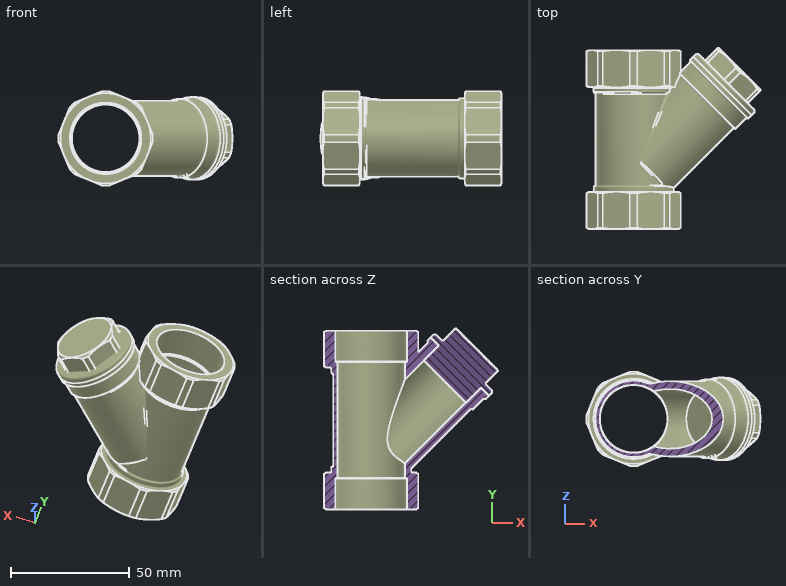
import cadquery as cq
import math

BODY_LENGTH = 75.6
PIPE_RADIUS = 32.5 / 2
BORE_RADIUS = 28.5 / 2
COLLAR_RADIUS = 34.0 / 2
COLLAR_LENGTH = 2.4
COLLAR_FILLET = 0.5

NUT_SIDES = 8
NUT_ACROSS_FLATS = 38.04
NUT_CORNER_RADIUS = 40.0 / 2
NUT_FACE_RADIUS = 38.2 / 2
NUT_LENGTH = 15.65
SOCKET_RADIUS = 30.29 / 2
SOCKET_DEPTH = 13.0
SOCKET_LIP_RADIUS = 29.0 / 2
DRILL_POINT_ANGLE = 120.0

BRANCH_ANGLE = 45.0
BRANCH_CROSSING_FROM_END = 22.97
BRANCH_CROSSING_Y = BRANCH_CROSSING_FROM_END - BODY_LENGTH / 2
BRANCH_RADIUS = 32.0 / 2
BRANCH_START = 6.1
BRANCH_BORE_RADIUS = 25.0 / 2
CREASE_FILLET = 1.0
HEEL_FILLET = 0.6
BAND_RADIUS = 33.5 / 2
BAND_START = 44.03
FLANGE_RADIUS = 35.0 / 2
FLANGE_START = 51.0
BRANCH_STEP_FILLET = 1.0
BRANCH_END = 53.1

CAP_FLANGE_TOP = 55.5
CAP_FLANGE_FILLET = 1.0
CAP_HEX_TOP = 63.33
CAP_HEX_SIDES = 6
CAP_HEX_ACROSS_FLATS = 25.5
CAP_HEX_CORNER_RADIUS = 28.0 / 2
CAP_HEX_FACE_RADIUS = 25.0 / 2
CAP_HEX_ROOT_FILLET = 0.5

CORNER_CHAMFER_ANGLE = 30.0


def along_y(shape):
    """Turn a shape built along Z so that it lies along Y."""
    return shape.rotate((0, 0, 0), (1, 0, 0), -90)


def along_branch(shape):
    """Move a shape built along Z onto the branch axis."""
    leaning = along_y(shape).rotate((0, 0, 0), (0, 0, 1), -BRANCH_ANGLE)
    return leaning.translate((0, BRANCH_CROSSING_Y, 0))


def cylinder(radius, start, end):
    return cq.Workplane("XY").workplane(offset=start).circle(radius).extrude(end - start)


def revolve_profile(profile):
    """Revolve a closed (radius, station) outline about Z."""
    return profile.close().revolve(360, (0, 0, 0), (0, 1, 0)).rotate((0, 0, 0), (1, 0, 0), 90)


def collar_step(profile, first_radius, last_radius, station):
    """Add the step between pipe and collar, made of two tangent arcs that meet at the station."""
    rise = last_radius - first_radius
    sweep = math.acos(1 - abs(rise) / (2 * COLLAR_FILLET))
    half_length = COLLAR_FILLET * math.sin(sweep)
    middle_length = half_length - COLLAR_FILLET * math.sin(sweep / 2)
    middle_rise = math.copysign(COLLAR_FILLET * (1 - math.cos(sweep / 2)), rise)
    return (
        profile.lineTo(first_radius, station - half_length)
        .threePointArc((first_radius + middle_rise, station - middle_length),
                       (first_radius + rise / 2, station))
        .threePointArc((last_radius - middle_rise, station + middle_length),
                       (last_radius, station + half_length))
    )


def chamfered_prism(sides, across_flats, corner_radius, face_radius, start, end, chamfer_start):
    """Polygon along Z with turned corners; one corner of the polygon lies on X."""
    drop = (corner_radius - face_radius) * math.tan(math.radians(CORNER_CHAMFER_ANGLE))
    corner_to_corner = across_flats / math.cos(math.pi / sides)
    prism = cq.Workplane("XY").workplane(offset=start).polygon(sides, corner_to_corner).extrude(end - start)
    envelope = cq.Workplane("XY").moveTo(0, start)
    if chamfer_start:
        envelope = envelope.lineTo(face_radius, start).lineTo(corner_radius, start + drop)
    else:
        envelope = envelope.lineTo(corner_radius, start)
    envelope = envelope.lineTo(corner_radius, end - drop).lineTo(face_radius, end).lineTo(0, end)
    return prism.intersect(revolve_profile(envelope))


def pipe_outside():
    """Round middle of the pipe with a collar against each octagon."""
    nut_face = BODY_LENGTH / 2 - NUT_LENGTH
    collar_edge = nut_face - COLLAR_LENGTH
    root_radius = COLLAR_RADIUS + COLLAR_FILLET
    arc_offset = COLLAR_FILLET * (1 - math.sqrt(0.5))
    profile = (
        cq.Workplane("XY").moveTo(0, -nut_face).lineTo(root_radius, -nut_face)
        .threePointArc((COLLAR_RADIUS + arc_offset, -nut_face + arc_offset),
                       (COLLAR_RADIUS, -nut_face + COLLAR_FILLET))
    )
    profile = collar_step(profile, COLLAR_RADIUS, PIPE_RADIUS, -collar_edge)
    profile = collar_step(profile, PIPE_RADIUS, COLLAR_RADIUS, collar_edge)
    profile = (
        profile.lineTo(COLLAR_RADIUS, nut_face - COLLAR_FILLET)
        .threePointArc((COLLAR_RADIUS + arc_offset, nut_face - arc_offset),
                       (root_radius, nut_face))
        .lineTo(0, nut_face)
    )
    return along_y(revolve_profile(profile))


def octagon_end(side):
    """Octagon at one end of the pipe; side is +1 or -1 along Y."""
    octagon = along_y(chamfered_prism(NUT_SIDES, NUT_ACROSS_FLATS, NUT_CORNER_RADIUS, NUT_FACE_RADIUS,
                                      0, NUT_LENGTH, True))
    middle = side * (BODY_LENGTH - NUT_LENGTH) / 2
    return octagon.translate((0, middle - NUT_LENGTH / 2, 0))


def pipe_bore():
    """Through bore with a drilled socket at each end."""
    half = BODY_LENGTH / 2
    socket_end = half - SOCKET_DEPTH
    cone_slope = math.tan(math.radians(DRILL_POINT_ANGLE / 2))
    lip = socket_end - (SOCKET_RADIUS - SOCKET_LIP_RADIUS) / cone_slope
    profile = (
        cq.Workplane("XY").moveTo(0, -half).lineTo(SOCKET_RADIUS, -half)
        .lineTo(SOCKET_RADIUS, -socket_end).lineTo(SOCKET_LIP_RADIUS, -lip)
        .lineTo(BORE_RADIUS, -lip).lineTo(BORE_RADIUS, lip)
        .lineTo(SOCKET_LIP_RADIUS, lip).lineTo(SOCKET_RADIUS, socket_end)
        .lineTo(SOCKET_RADIUS, half).lineTo(0, half)
    )
    return along_y(revolve_profile(profile))


def filleted_shoulder(profile, small_radius, large_radius, station):
    """Add a concave arc that leaves the small cylinder and meets the large one at a sharp edge."""
    sweep = math.acos(1 - (large_radius - small_radius) / BRANCH_STEP_FILLET)
    start = station - BRANCH_STEP_FILLET * math.sin(sweep)
    middle_radius = small_radius + BRANCH_STEP_FILLET * (1 - math.cos(sweep / 2))
    middle_station = start + BRANCH_STEP_FILLET * math.sin(sweep / 2)
    return profile.lineTo(small_radius, start).threePointArc((middle_radius, middle_station),
                                                             (large_radius, station))


def branch_outside():
    """Branch with its band and the lower half of the flange."""
    profile = cq.Workplane("XY").moveTo(0, BRANCH_START).lineTo(BRANCH_RADIUS, BRANCH_START)
    profile = filleted_shoulder(profile, BRANCH_RADIUS, BAND_RADIUS, BAND_START)
    profile = filleted_shoulder(profile, BAND_RADIUS, FLANGE_RADIUS, FLANGE_START)
    profile = profile.lineTo(FLANGE_RADIUS, BRANCH_END).lineTo(0, BRANCH_END)
    return along_branch(revolve_profile(profile))


def plain_pipe():
    """Bare pipe cylinder that ends inside the octagons."""
    half = (BODY_LENGTH - NUT_LENGTH) / 2
    return along_y(cylinder(PIPE_RADIUS, -half, half))


def plain_branch(start):
    return along_branch(cylinder(BRANCH_RADIUS, start, BAND_START - BRANCH_STEP_FILLET))


def heel_joint():
    """Pipe and branch joined with a fillet along the foot of the branch's start face."""
    joint = plain_pipe().union(plain_branch(BRANCH_START))
    return joint.edges("%ELLIPSE").fillet(HEEL_FILLET)


def crease_joint(side):
    """One quarter of the pipe and branch joint with its crease filleted; side is +1 or -1 along Z."""
    joint = plain_pipe().union(plain_branch(0)).edges("%BSPLINE").fillet(CREASE_FILLET)
    size = 2 * BODY_LENGTH
    quarter = cq.Workplane("XY").box(size, size, size, centered=(True, False, False))
    quarter = along_branch(quarter.translate((0, 0, BRANCH_START)))
    lower_half = cq.Workplane("XY").box(size, size, size).translate((0, 0, -size / 2))
    piece = joint.intersect(quarter.intersect(lower_half))
    return piece if side < 0 else piece.mirror("XY")


def make_body():
    body = heel_joint()
    for side in (-1, 1):
        body = body.union(crease_joint(side))
    body = body.union(pipe_outside()).union(branch_outside())
    for side in (-1, 1):
        body = body.union(octagon_end(side))
    body = body.cut(pipe_bore())
    return body.cut(along_branch(cylinder(BRANCH_BORE_RADIUS, 0, BRANCH_END)))


def make_cap():
    """Screw cap: plug in the branch bore, round flange and hexagon."""
    plug = cylinder(BRANCH_BORE_RADIUS, BAND_START, BRANCH_END)
    flange = cylinder(FLANGE_RADIUS, BRANCH_END, CAP_FLANGE_TOP).faces(">Z").edges().fillet(CAP_FLANGE_FILLET)
    hexagon = chamfered_prism(CAP_HEX_SIDES, CAP_HEX_ACROSS_FLATS, CAP_HEX_CORNER_RADIUS,
                              CAP_HEX_FACE_RADIUS, CAP_FLANGE_TOP, CAP_HEX_TOP, False)
    hexagon = hexagon.rotate((0, 0, 0), (0, 0, 1), 90)
    head = flange.union(hexagon)
    flange_face = head.faces(cq.NearestToPointSelector((0, 0, CAP_FLANGE_TOP))).val()
    hexagon_root = flange_face.innerWires()[0].Edges()
    head = cq.Workplane(obj=head.val().fillet(CAP_HEX_ROOT_FILLET, hexagon_root))
    return along_branch(plug.union(head))


body = make_body()
cap = make_cap()
result = cq.Compound.makeCompound([body.val(), cap.val()])